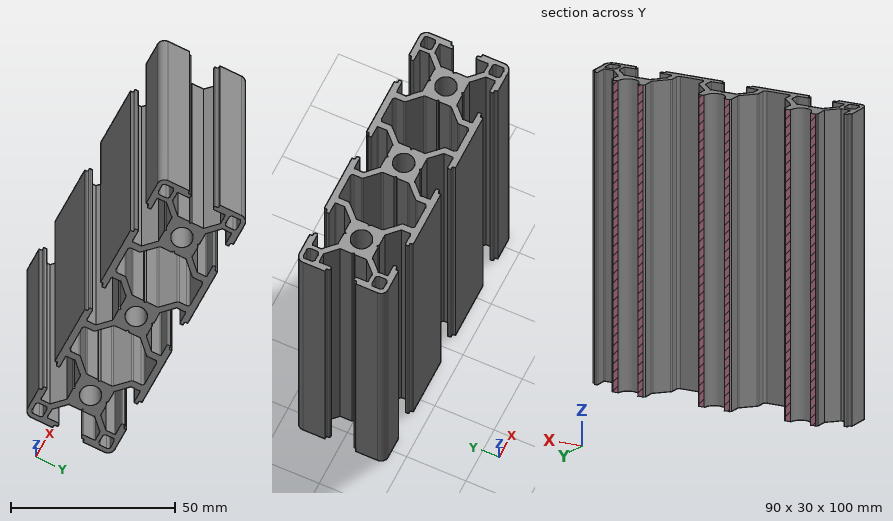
import cadquery as cq

pitch = 30.0
cell_count = 3
length = 100.0
corner_radius = 2.4

mouth_half = 4.0
step_half = 5.17
step_depth = 1.0
step_radius = 0.4
lip_radius = 0.3
slot_half = 8.25
lip_thickness = 2.2
core_half = 5.8
groove_half = 0.5
groove_depth = 0.5

bore_diameter = 6.8
diagonal_offset = 1.35
cavity_web = 2.1
cavity_radius = 0.9

channel_side = 3.9
channel_wall = 1.5
channel_radius = 0.9

half_cell = pitch / 2
row_width = cell_count * pitch
cell_centers = [(i - (cell_count - 1) / 2) * pitch for i in range(cell_count)]
end_center = cell_centers[-1]


def round_edges(solid, x, y, radius):
    """Fillet the two lengthwise edges at (-x, y) and (x, y)."""
    for edge_x in (-x, x):
        near = cq.selectors.NearestToPointSelector((edge_x, y, length / 2))
        solid = solid.edges("|Z").edges(near).fillet(radius)
    return solid


def make_slot(x, angle):
    """T-slot of the cell centred at x; opens toward +Y before turning by angle about the cell axis."""
    undercut_top = half_cell - lip_thickness
    step_floor = half_cell - step_depth
    right_half = [
        (groove_half, core_half),
        (core_half - diagonal_offset, core_half),
        (slot_half, slot_half + diagonal_offset),
        (slot_half, undercut_top),
        (mouth_half, undercut_top),
        (mouth_half, step_floor),
        (step_half, step_floor),
        (step_half, half_cell),
    ]
    left_half = [(-px, py) for px, py in reversed(right_half)]
    groove_bottom = [(0, core_half - groove_depth)]
    slot = cq.Workplane("XY").polyline(groove_bottom + right_half + left_half).close().extrude(length)
    slot = round_edges(slot, step_half, step_floor, step_radius)
    slot = round_edges(slot, mouth_half, step_floor, lip_radius)
    slot = round_edges(slot, mouth_half, undercut_top, lip_radius)
    slot = round_edges(slot, slot_half, undercut_top, lip_radius)
    return slot.rotate((0, 0, 0), (0, 0, 1), angle).translate((x, 0, 0))


def make_cavity(x):
    """Closed twelve-sided channel between two neighbouring cells, centred at x."""
    side_x = half_cell - core_half
    neck_x = half_cell - slot_half - cavity_web
    side_y = core_half - diagonal_offset
    neck_y = slot_half + cavity_web - diagonal_offset
    top_y = half_cell - lip_thickness
    quarter = [(side_x, side_y), (neck_x, neck_y), (neck_x, top_y)]
    upper = quarter + [(-px, py) for px, py in reversed(quarter)]
    lower = [(px, -py) for px, py in reversed(upper)]
    cavity = cq.Workplane("XY").polyline(upper + lower).close().extrude(length)
    cavity = cavity.edges("|Z").fillet(cavity_radius)
    for side in (-1, 1):
        groove = [
            (side * side_x, -groove_half),
            (side * (side_x + groove_depth), 0),
            (side * side_x, groove_half),
        ]
        cavity = cavity.union(cq.Workplane("XY").polyline(groove).close().extrude(length))
    return cavity.translate((x, 0, 0))


def make_corner_channels():
    """Small rounded square channels in the four outer corners."""
    inset = channel_wall + channel_side / 2
    x = row_width / 2 - inset
    y = half_cell - inset
    corners = [(sx * x, sy * y) for sx in (-1, 1) for sy in (-1, 1)]
    channels = cq.Workplane("XY").pushPoints(corners).rect(channel_side, channel_side).extrude(length)
    return channels.edges("|Z").fillet(channel_radius)


profile = cq.Workplane("XY").rect(row_width, pitch).extrude(length)
profile = profile.edges("|Z").fillet(corner_radius)

for center in cell_centers:
    for angle in (0, 180):
        profile = profile.cut(make_slot(center, angle))

profile = profile.cut(make_slot(end_center, -90))
profile = profile.cut(make_slot(-end_center, 90))

for center in cell_centers[:-1]:
    profile = profile.cut(make_cavity(center + half_cell))

profile = profile.cut(make_corner_channels())

bores = cq.Workplane("XY").pushPoints([(x, 0) for x in cell_centers]).circle(bore_diameter / 2).extrude(length)
result = profile.cut(bores)